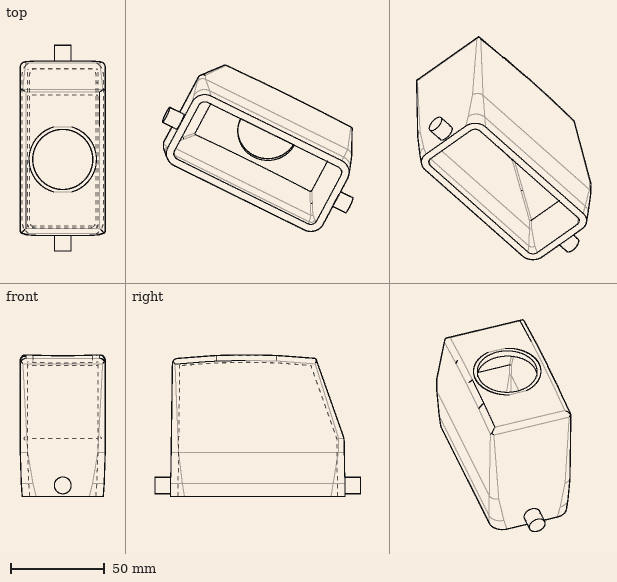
import cadquery as cq
import math

WIDTH = 45.5
HEIGHT = 75.8
LENGTH = 93.3

BASE_WIDTH = 43.4
RIM_WIDTH = 44.4
RIM_HEIGHT = 7.0
WAIST_HEIGHT = 23.6

END_DRAFT = 0.014
SLOPE_START = 31.0
SLOPE_ANGLE = 19.5
SLOPE_FOOT_RADIUS = 11.0

BASE_CORNER = 7.5
RIM_CORNER = 6.3
FRONT_WAIST_CORNER = 4.0
BACK_WAIST_CORNER = 3.3
SLOPE_START_CORNER = 3.0
TOP_CORNER = 1.2

ARCH_RADIUS = 360.0
ENTRY_Y = -6.0
SIDE_EDGE_RADIUS = 3.0
FRONT_EDGE_RADIUS = 3.0
BACK_EDGE_RADIUS = 1.5

ENTRY_DIAMETER = 32.0
SEAL_DIAMETER = 36.0
SEAL_HALF_LENGTH = 17.3

WALL = 4.0
INNER_CORNER = 0.8

PIN_DIAMETER = 9.0
PIN_HEIGHT = 6.0
PIN_SPAN = 110.0


def front_y(z):
    """Position of the front (-Y) wall at height z."""
    return -LENGTH / 2 + END_DRAFT * z


def back_y(z):
    """Position of the back (+Y) wall at height z."""
    slope_rise = max(0.0, z - SLOPE_START)
    upright_rise = min(z, SLOPE_START)
    slope_run = slope_rise * math.tan(math.radians(SLOPE_ANGLE))
    return LENGTH / 2 - END_DRAFT * upright_rise - slope_run


def section(z, width, corner, y_min, y_max, inset):
    """Rounded rectangle across the hood at height z, moved inwards by inset."""
    radius = max(corner - inset, INNER_CORNER)
    outline = (
        cq.Sketch()
        .rect(width - 2 * inset, y_max - y_min - 2 * inset)
        .vertices()
        .fillet(radius)
    )
    return outline.moved(cq.Location(cq.Vector(0, (y_min + y_max) / 2, z)))


def ruled_column(sections):
    """Solid with straight rulings between the stacked sections."""
    return cq.Workplane("XY").placeSketch(*sections).loft(ruled=True)


def lower_levels(waist_corner):
    """Height, width and corner radius of the sections from the base to the waist."""
    return [
        (0.0, BASE_WIDTH, BASE_CORNER),
        (RIM_HEIGHT, RIM_WIDTH, RIM_CORNER),
        (WAIST_HEIGHT, WIDTH, waist_corner),
    ]


def front_column(inset):
    """Side walls with the front wall and its corners, overlong at the back."""
    levels = lower_levels(FRONT_WAIST_CORNER) + [(HEIGHT, WIDTH, TOP_CORNER)]
    return ruled_column([section(z, w, corner, front_y(z), LENGTH, inset) for z, w, corner in levels])


def back_column(inset):
    """Side walls with the sloping back wall and its corners, overlong at the front."""
    levels = lower_levels(BACK_WAIST_CORNER) + [
        (SLOPE_START, WIDTH, SLOPE_START_CORNER),
        (HEIGHT, WIDTH, TOP_CORNER),
    ]
    return ruled_column([section(z, w, corner, -LENGTH, back_y(z), inset) for z, w, corner in levels])


def tapered_column(inset):
    """Walls of the hood with their growing corner radii, before the roof is shaped."""
    return front_column(inset).intersect(back_column(inset))


def arch_drum(inset):
    """Large drum lying along X whose rim is the roof."""
    half_width = WIDTH / 2 - inset
    return (
        cq.Workplane("YZ", origin=(-half_width, ENTRY_Y, HEIGHT - ARCH_RADIUS))
        .circle(ARCH_RADIUS - inset)
        .extrude(2 * half_width)
    )


def arch_z(y):
    """Height of the roof at position y."""
    return HEIGHT - ARCH_RADIUS + math.sqrt(ARCH_RADIUS**2 - (y - ENTRY_Y) ** 2)


def end_profile():
    """Prism along X that rounds the roof's front and back edges and the foot of the back slope."""
    profile = (
        cq.Workplane("YZ", origin=(-WIDTH / 2, 0, 0))
        .moveTo(front_y(0), 0)
        .lineTo(back_y(0), 0)
        .lineTo(back_y(SLOPE_START), SLOPE_START)
        .lineTo(back_y(HEIGHT), HEIGHT)
        .lineTo(front_y(HEIGHT), HEIGHT)
        .close()
        .extrude(WIDTH)
        .intersect(arch_drum(0))
    )
    front = cq.selectors.NearestToPointSelector((0, front_y(HEIGHT), HEIGHT))
    back = cq.selectors.NearestToPointSelector((0, back_y(HEIGHT), HEIGHT))
    foot = cq.selectors.NearestToPointSelector((0, back_y(SLOPE_START), SLOPE_START))
    for edge, radius in (
        (front, FRONT_EDGE_RADIUS),
        (back, BACK_EDGE_RADIUS),
        (foot, SLOPE_FOOT_RADIUS),
    ):
        profile = profile.edges(edge).fillet(radius)
    return profile


def outer_shape():
    """Solid outside shape of the hood."""
    rounded_drum = arch_drum(0).edges().fillet(SIDE_EDGE_RADIUS)
    return tapered_column(0).intersect(end_profile()).intersect(rounded_drum)


def cavity():
    """Hollow inside, set in from the outer faces by the wall thickness and open at the base."""
    return tapered_column(WALL).intersect(arch_drum(WALL))


def cable_entry():
    """Round opening through the roof with its flat sealing face."""
    seal_z = arch_z(ENTRY_Y + SEAL_HALF_LENGTH)
    axis = cq.Workplane("XY", origin=(0, ENTRY_Y, seal_z))
    seal = axis.circle(SEAL_DIAMETER / 2).extrude(HEIGHT - seal_z)
    bore = axis.circle(ENTRY_DIAMETER / 2).extrude(-2 * WALL)
    return seal.union(bore)


def locking_pin(side):
    """Pin standing out of the end wall on the given side (+1 back, -1 front)."""
    root = LENGTH / 2 - WALL / 2
    plane = cq.Plane(origin=(0, side * root, PIN_HEIGHT), xDir=(1, 0, 0), normal=(0, side, 0))
    return cq.Workplane(plane).circle(PIN_DIAMETER / 2).extrude(PIN_SPAN / 2 - root)


result = outer_shape().cut(cavity()).cut(cable_entry())
for pin_side in (-1, 1):
    result = result.union(locking_pin(pin_side))